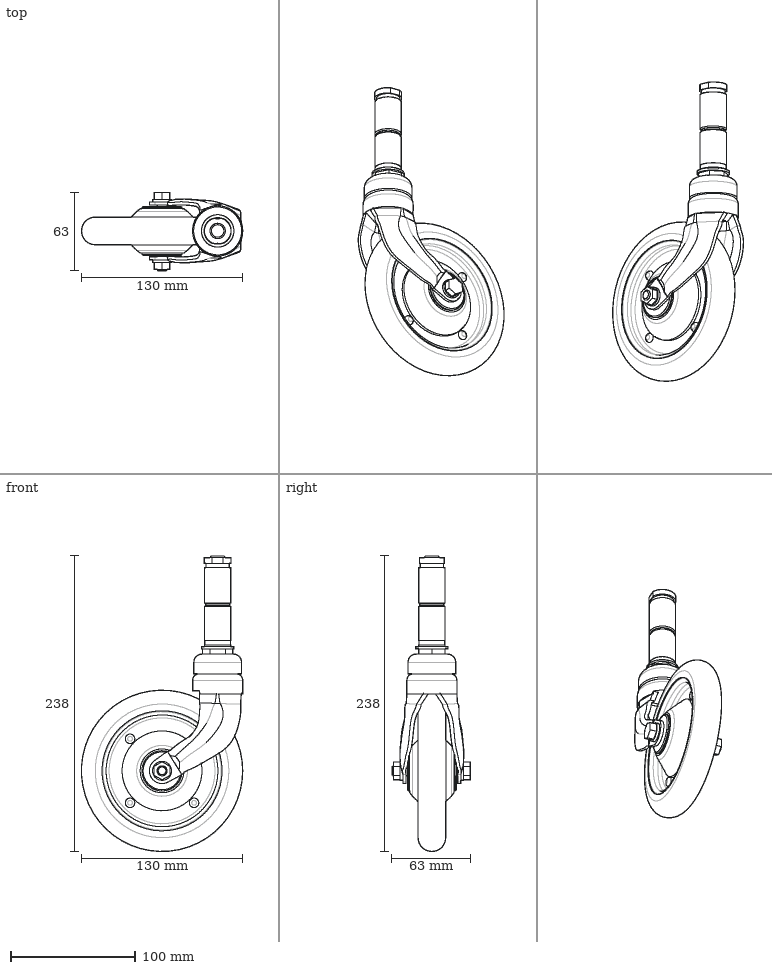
import cadquery as cq
import math


WHEEL_RADIUS = 65.0
TYRE_HALF_WIDTH = 11.2
TREAD_START_RADIUS = WHEEL_RADIUS - TYRE_HALF_WIDTH
STEM_X = 44.7
AXLE_RADIUS = 4.0

RIM_RADIUS = 48.3
RIM_STEP = 0.7
RIM_WALL_RADIUS = 45.0
DISC_RADIUS = 42.5
DISC_Y = 1.5

CONE_BASE_RADIUS = 32.1
CONE_BASE_Y = 4.0
CONE_TOP_RADIUS = 20.5
CONE_TOP_Y = 15.7
SHOULDER_RADIUS = 17.5
SHOULDER_Y = 17.8
HUB_RADIUS = 16.2
HUB_Y = 19.8
HUB_CHAMFER = 1.0

RIVET_COUNT = 4
RIVET_CIRCLE_RADIUS = 36.5
RIVET_RADIUS = 3.8
RIVET_TIP_RADIUS = 2.0
RIVET_HEIGHT = 2.4

LUG_RADIUS = 10.2
LUG_INNER_Y = 20.7
LUG_OUTER_Y = 23.3
LUG_WALL = LUG_OUTER_Y - LUG_INNER_Y
LUG_FRONT_TANGENT = 125
LUG_REAR_TANGENT = -60
SEAT_RADIUS = 11.5
SEAT_TOP_RADIUS = 16.7
SEAT_DEPTH = 2.5
SKIRT_BOTTOM_Z = 61.6
SKIRT_INNER_Y = 13.8
HOUSING_RADIUS = 20.2
HOUSING_BOTTOM_Z = 64.3
HOUSING_TOP_Z = 78.0
ARM_TOP_Z = 65.5
HOUSING_FILLET = 5.2

FASTENER_FLATS = 12.5
FASTENER_HEIGHT = 5.5
WASHER_RADIUS = 7.5
WASHER_THICKNESS = 2.1
BOLT_TIP_LENGTH = 1.2
BOLT_TIP_CHAMFER = 1.0

CAP_RADIUS = 19.3
CAP_FILLET = 6.7
STEM_HEX_FLATS = 21.2
FLANGE_RADIUS = 13.0
SLEEVE_RADIUS = 10.7
COLLAR_RADIUS = 10.5
GROOVE_RADIUS = 9.8
NECK_RADIUS = 9.5
TOP_NUT_RADIUS = 11.0
TOP_NUT_FLATS = 20.0
TIP_RADIUS = 6.2
TIP_CHAMFER = 1.2

CAP_TOP_Z = 94.0
FLANGE_BOTTOM_Z = 98.0
FLANGE_TOP_Z = 100.0
COLLAR_BOTTOM_Z = 101.1
COLLAR_TOP_Z = 104.7
GROOVE_BOTTOM_Z = 132.0
GROOVE_TOP_Z = 135.2
NECK_BOTTOM_Z = 163.5
TOP_NUT_BOTTOM_Z = 166.8
TOP_NUT_TOP_Z = 171.5
TIP_Z = 173.0


def cylinder_along_y(radius, y_start, y_end):
    return cq.Workplane("XZ", origin=(0, y_start, 0)).circle(radius).extrude(y_start - y_end)


def cylinder_along_stem(radius, z_start, z_end):
    return cq.Workplane("XY", origin=(STEM_X, 0, z_start)).circle(radius).extrude(z_end - z_start)


def make_wheel_half():
    """Half of the turned wheel inside the tread, on the +Y side of its middle plane."""
    lip_radius = RIM_RADIUS - RIM_STEP
    lip_y = TYRE_HALF_WIDTH - RIM_STEP
    lip_round = lip_radius - RIM_WALL_RADIUS
    foot_round = RIM_WALL_RADIUS - DISC_RADIUS
    short_leg = 1 - math.sin(math.radians(45))
    return (
        cq.Workplane("XY")
        .moveTo(AXLE_RADIUS, 0)
        .lineTo(TREAD_START_RADIUS, 0)
        .lineTo(TREAD_START_RADIUS, TYRE_HALF_WIDTH)
        .lineTo(RIM_RADIUS, TYRE_HALF_WIDTH)
        .lineTo(RIM_RADIUS, lip_y)
        .lineTo(lip_radius, lip_y)
        .threePointArc(
            (RIM_WALL_RADIUS + lip_round * short_leg, lip_y - lip_round * short_leg),
            (RIM_WALL_RADIUS, lip_y - lip_round),
        )
        .lineTo(RIM_WALL_RADIUS, DISC_Y + foot_round)
        .threePointArc(
            (RIM_WALL_RADIUS - foot_round * short_leg, DISC_Y + foot_round * short_leg),
            (DISC_RADIUS, DISC_Y),
        )
        .lineTo(CONE_BASE_RADIUS, DISC_Y)
        .lineTo(CONE_BASE_RADIUS, CONE_BASE_Y)
        .lineTo(CONE_TOP_RADIUS, CONE_TOP_Y)
        .lineTo(SHOULDER_RADIUS, SHOULDER_Y)
        .lineTo(HUB_RADIUS, SHOULDER_Y)
        .lineTo(HUB_RADIUS, HUB_Y - HUB_CHAMFER)
        .lineTo(HUB_RADIUS - HUB_CHAMFER, HUB_Y)
        .lineTo(AXLE_RADIUS, HUB_Y)
        .close()
        .revolve(360, (0, 0, 0), (0, 1, 0))
    )


def make_tread():
    return (
        cq.Workplane("XY")
        .moveTo(TREAD_START_RADIUS, -TYRE_HALF_WIDTH)
        .threePointArc((WHEEL_RADIUS, 0), (TREAD_START_RADIUS, TYRE_HALF_WIDTH))
        .close()
        .revolve(360, (0, 0, 0), (0, 1, 0))
    )


def make_rivet():
    """Domed rivet along Y that stands out of both faces of the disc."""
    tip_y = DISC_Y + RIVET_HEIGHT
    bulge = (RIVET_RADIUS - RIVET_TIP_RADIUS) * math.sin(math.radians(45))
    bulge_y = DISC_Y + RIVET_HEIGHT * math.sin(math.radians(45))
    half = (
        cq.Workplane("XY")
        .lineTo(RIVET_RADIUS, 0)
        .lineTo(RIVET_RADIUS, DISC_Y)
        .threePointArc((RIVET_TIP_RADIUS + bulge, bulge_y), (RIVET_TIP_RADIUS, tip_y))
        .lineTo(0, tip_y)
        .close()
        .revolve(360, (0, 0, 0), (0, 1, 0))
    )
    return half.union(half.mirror("XZ"))


def make_wheel():
    half = make_wheel_half()
    wheel = half.union(half.mirror("XZ")).union(make_tread())
    rivet = make_rivet().translate((RIVET_CIRCLE_RADIUS, 0, 0))
    for index in range(RIVET_COUNT):
        angle = (index + 0.5) * 360 / RIVET_COUNT
        wheel = wheel.union(rivet.rotate((0, 0, 0), (0, 1, 0), angle))
    return wheel



ARM_STATIONS = [
    ((4.3, 15.7, LUG_OUTER_Y), (16.0, -3.0, LUG_OUTER_Y), 25.7, 0.30, 0.54, LUG_WALL),
    ((12.0, 21.0, LUG_OUTER_Y), (25.2, 2.4, 22.8), 25.7, 0.26, 0.55, LUG_WALL),
    ((19.0, 25.7, 23.3), (34.5, 7.5, 22.0), 25.2, 0.20, 0.52, 2.5),
    ((24.0, 29.7, 22.8), (44.0, 13.0, 20.7), 24.8, 0.16, 0.50, 2.5),
    ((27.4, 34.5, 22.4), (52.4, 19.3, 19.3), 24.3, 0.16, 0.49, 2.9),
    ((29.3, 39.5, 21.2), (59.0, 29.3, 18.0), 23.0, 0.20, 0.53, 3.0),
    ((30.0, 44.7, 19.8), (62.5, 41.5, 16.7), 22.0, 0.26, 0.58, 3.3),
    ((30.0, 54.7, 16.5), (63.3, 53.5, 12.4), 20.7, 0.38, 0.50, 3.8),
    ((30.0, ARM_TOP_Z, 13.3), (64.0, ARM_TOP_Z, 4.8), 20.0, 0.42, 0.44, 4.3),
]


def arm_section(station):
    front, rear, crown_y, crown_start, crown_end, wall = station

    def crown_point(fraction):
        x = front[0] + fraction * (rear[0] - front[0])
        z = front[1] + fraction * (rear[1] - front[1])
        return (x, z, crown_y)

    outer = [front, crown_point(crown_start), crown_point(crown_end), rear]
    inner = [(x, z, y - wall) for x, z, y in reversed(outer)]
    points = [cq.Vector(x, y, z) for x, z, y in outer + inner]
    return cq.Wire.makePolygon(points, close=True)


def make_lug():
    """Round eye for the axle, with a plate that runs out to the foot of the arm."""
    lug = cylinder_along_y(LUG_RADIUS, LUG_INNER_Y, LUG_OUTER_Y)
    front, rear = ARM_STATIONS[0][:2]
    front_angle = math.radians(LUG_FRONT_TANGENT)
    rear_angle = math.radians(LUG_REAR_TANGENT)
    plate = (
        cq.Workplane("XZ", origin=(0, LUG_INNER_Y, 0))
        .moveTo(LUG_RADIUS * math.cos(front_angle), LUG_RADIUS * math.sin(front_angle))
        .lineTo(front[0], front[1])
        .lineTo(rear[0], rear[1])
        .lineTo(LUG_RADIUS * math.cos(rear_angle), LUG_RADIUS * math.sin(rear_angle))
        .close()
        .extrude(-LUG_WALL)
    )
    return lug.union(plate)


def make_washer_seat():
    """Conical recess around the axle, down to the outer face of the lug."""
    seat_top_y = LUG_OUTER_Y + SEAT_DEPTH
    return (
        cq.Workplane("XY")
        .moveTo(0, LUG_OUTER_Y)
        .lineTo(SEAT_RADIUS, LUG_OUTER_Y)
        .lineTo(SEAT_TOP_RADIUS, seat_top_y)
        .lineTo(0, seat_top_y)
        .close()
        .revolve(360, (0, 0, 0), (0, 1, 0))
    )


def make_arm():
    """Lug, smoothly curved strap and a straight root that runs into the housing."""
    sections = [arm_section(station) for station in ARM_STATIONS]
    strap = cq.Solid.makeLoft(sections[:-1])
    root = cq.Solid.makeLoft(sections[-2:], True)
    arm = make_lug().union(cq.Workplane(strap)).union(cq.Workplane(root))
    return arm.cut(make_washer_seat())


def make_housing():
    """Round housing with a short skirt that reaches down over both arms, open towards the wheel."""
    housing = (
        cylinder_along_stem(HOUSING_RADIUS, SKIRT_BOTTOM_Z, HOUSING_TOP_Z)
        .faces(">Z").edges().fillet(HOUSING_FILLET)
    )
    gap = (
        cq.Workplane("XY", origin=(STEM_X, 0, SKIRT_BOTTOM_Z))
        .center(-HOUSING_RADIUS / 2, 0)
        .rect(HOUSING_RADIUS, 2 * SKIRT_INNER_Y)
        .extrude(HOUSING_BOTTOM_Z - SKIRT_BOTTOM_Z)
    )
    return housing.cut(gap)


def make_fork():
    arm = make_arm()
    fork = make_housing().union(arm).union(arm.mirror("XZ"))
    return fork.cut(cylinder_along_y(AXLE_RADIUS, -LUG_OUTER_Y, LUG_OUTER_Y))


def make_axle():
    """Bolt with its head on +Y, nut on -Y and a washer under each."""
    washer_y = LUG_OUTER_Y + WASHER_THICKNESS
    fastener_y = washer_y + FASTENER_HEIGHT
    tip_y = fastener_y + BOLT_TIP_LENGTH
    corners = FASTENER_FLATS / math.cos(math.radians(30))
    washer = cylinder_along_y(WASHER_RADIUS, LUG_OUTER_Y, washer_y)
    fastener = (
        cq.Workplane("XZ", origin=(0, washer_y, 0))
        .transformed(rotate=(0, 0, 30))
        .polygon(6, corners)
        .extrude(-FASTENER_HEIGHT)
    )
    end = washer.union(fastener)
    shaft = cylinder_along_y(AXLE_RADIUS, -tip_y, fastener_y).faces("<Y").chamfer(BOLT_TIP_CHAMFER)
    return shaft.union(end).union(end.mirror("XZ"))


def make_sleeve():
    """Turned part of the stem, from the flange to the underside of the top nut."""
    groove_chamfer = SLEEVE_RADIUS - GROOVE_RADIUS
    profile = [
        (0, FLANGE_BOTTOM_Z),
        (FLANGE_RADIUS, FLANGE_BOTTOM_Z),
        (FLANGE_RADIUS, FLANGE_TOP_Z),
        (SLEEVE_RADIUS, FLANGE_TOP_Z),
        (SLEEVE_RADIUS, COLLAR_BOTTOM_Z),
        (COLLAR_RADIUS, COLLAR_BOTTOM_Z),
        (COLLAR_RADIUS, COLLAR_TOP_Z),
        (SLEEVE_RADIUS, COLLAR_TOP_Z),
        (SLEEVE_RADIUS, GROOVE_BOTTOM_Z),
        (GROOVE_RADIUS, GROOVE_BOTTOM_Z + groove_chamfer),
        (GROOVE_RADIUS, GROOVE_TOP_Z - groove_chamfer),
        (SLEEVE_RADIUS, GROOVE_TOP_Z),
        (SLEEVE_RADIUS, NECK_BOTTOM_Z),
        (NECK_RADIUS, NECK_BOTTOM_Z),
        (NECK_RADIUS, TOP_NUT_BOTTOM_Z),
        (0, TOP_NUT_BOTTOM_Z),
    ]
    sleeve = cq.Workplane("XZ").polyline(profile).close().revolve(360, (0, 0, 0), (0, 1, 0))
    return sleeve.translate((STEM_X, 0, 0))


def make_top_nut():
    """Disc with two flats across Y, and the chamfered end of the stem above it."""
    height = TOP_NUT_TOP_Z - TOP_NUT_BOTTOM_Z
    flats = (
        cq.Workplane("XY", origin=(STEM_X, 0, TOP_NUT_BOTTOM_Z))
        .rect(2 * TOP_NUT_RADIUS, TOP_NUT_FLATS)
        .extrude(height)
    )
    nut = cylinder_along_stem(TOP_NUT_RADIUS, TOP_NUT_BOTTOM_Z, TOP_NUT_TOP_Z).intersect(flats)
    tip = cylinder_along_stem(TIP_RADIUS, TOP_NUT_TOP_Z, TIP_Z).faces(">Z").chamfer(TIP_CHAMFER)
    return nut.union(tip)


def make_stem():
    cap = (
        cylinder_along_stem(CAP_RADIUS, HOUSING_TOP_Z, CAP_TOP_Z)
        .faces(">Z").edges().fillet(CAP_FILLET)
    )
    hexagon = (
        cq.Workplane("XY", origin=(STEM_X, 0, CAP_TOP_Z))
        .polygon(6, STEM_HEX_FLATS / math.cos(math.radians(30)))
        .extrude(FLANGE_BOTTOM_Z - CAP_TOP_Z)
    )
    return cap.union(hexagon).union(make_sleeve()).union(make_top_nut())


wheel = make_wheel()
fork = make_fork()
axle = make_axle()
stem = make_stem()

result = cq.Compound.makeCompound([body.solids().val() for body in (wheel, fork, axle, stem)])